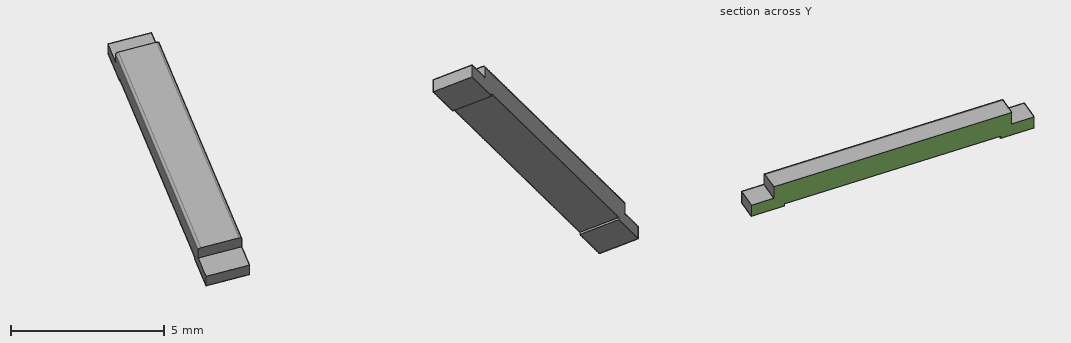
import cadquery as cq

length = 10.2
width = 1.5
height = 1.0

terminal_length = 0.81
terminal_height = height / 2

foot_length = 1.2
relief_depth = 0.09

top_edge_radius = 0.09

body_length = length - 2 * terminal_length
relief_length = length - 2 * foot_length


def centred_block(block_length, bottom, top):
    """Full-width block centred in X and Y, spanning bottom to top in Z."""
    return (
        cq.Workplane("XY")
        .workplane(offset=bottom)
        .rect(block_length, width)
        .extrude(top - bottom)
    )


base = centred_block(length, 0, terminal_height)
body = centred_block(body_length, 0, height).faces(">Z").edges("|X").fillet(top_edge_radius)
relief = centred_block(relief_length, 0, relief_depth)

result = base.union(body).cut(relief)